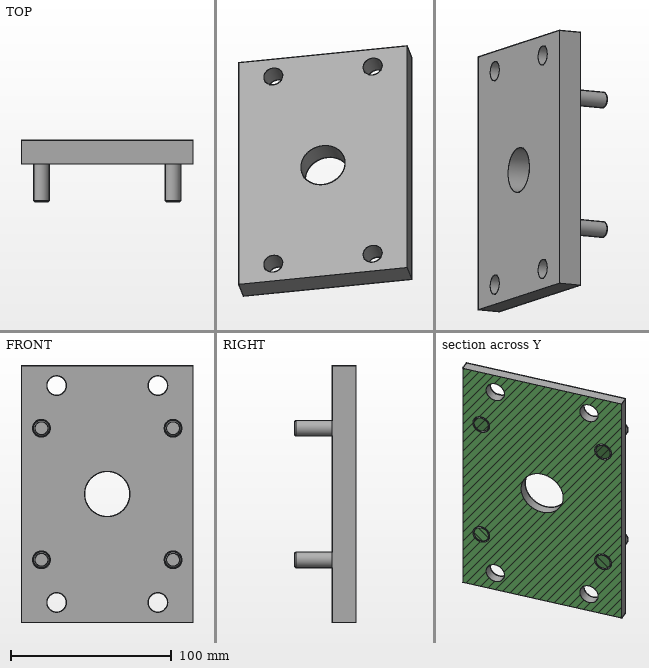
import cadquery as cq

plate_width = 107.0
plate_height = 160.0
plate_thickness = 15.0
bore_diameter = 28.0

mount_hole_diameter = 12.0
mount_spacing_x = 63.0
mount_spacing_z = 135.0

overall_depth = 38.5
pin_diameter = 10.0
pin_spacing = 82.0
pin_chamfer = 1.0
pin_length = 30.0
recess_diameter = 11.0
pin_front_y = plate_thickness - overall_depth
recess_depth = pin_front_y + pin_length


def rectangle_corners(spacing_x, spacing_z):
    """(X, Z) corners of a rectangle centred on the plate."""
    return [(sx * spacing_x / 2, sz * spacing_z / 2) for sx in (-1, 1) for sz in (-1, 1)]


def rod(diameter, x, z, front_y, back_y):
    """Solid cylinder along Y between two depths."""
    front_plane = cq.Workplane("XZ", origin=(x, front_y, z))
    return front_plane.circle(diameter / 2).extrude(front_y - back_y)


def through_hole(diameter, x, z):
    """Cutter that passes through the full plate thickness."""
    return rod(diameter, x, z, 0, plate_thickness)


def make_plate(pin_places):
    plate = cq.Workplane("XY").box(
        plate_width, plate_thickness, plate_height, centered=(True, False, True)
    )
    plate = plate.cut(through_hole(bore_diameter, 0, 0))
    for x, z in rectangle_corners(mount_spacing_x, mount_spacing_z):
        plate = plate.cut(through_hole(mount_hole_diameter, x, z))
    for x, z in pin_places:
        plate = plate.cut(rod(recess_diameter, x, z, 0, recess_depth))
    return plate


def make_pin(x, z):
    """Pin seated on the floor of its recess, chamfered at its free front end."""
    pin = rod(pin_diameter, x, z, pin_front_y, recess_depth)
    return pin.faces("<Y").chamfer(pin_chamfer)


pin_places = rectangle_corners(pin_spacing, pin_spacing)
plate = make_plate(pin_places)
pins = [make_pin(x, z) for x, z in pin_places]

result = cq.Compound.makeCompound([plate.val(), *[pin.val() for pin in pins]])